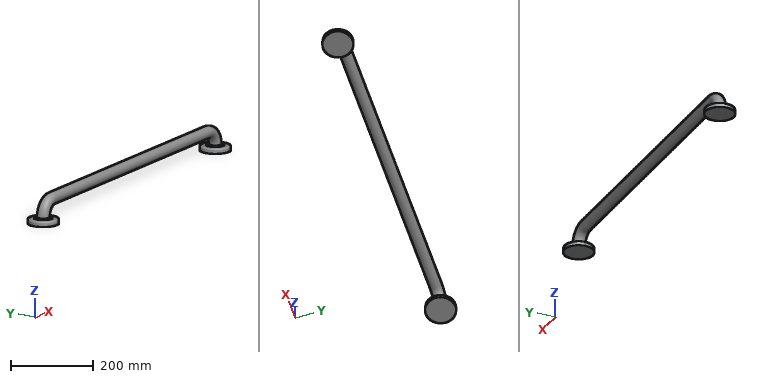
import cadquery as cq

overall_length = 889.0
overall_height = 69.85
flange_diameter = 76.2

tube_diameter = 31.75
bend_radius = 39.7

rim_height = 12.0
shoulder_radius = 3.5
cone_top_height = 13.6

collar_base_diameter = 46.0
collar_top_diameter = 43.5
collar_top_height = 15.875

post_x = (overall_length - flange_diameter) / 2
tube_axis_z = overall_height - tube_diameter / 2
straight_end_x = post_x - bend_radius
bend_start_z = tube_axis_z - bend_radius


def make_tube():
    """Round bar: upright, quarter bend, long straight run, quarter bend, upright."""
    path = (
        cq.Workplane("XZ")
        .moveTo(-post_x, 0)
        .lineTo(-post_x, bend_start_z)
        .tangentArcPoint((-straight_end_x, tube_axis_z), relative=False)
        .lineTo(straight_end_x, tube_axis_z)
        .tangentArcPoint((post_x, bend_start_z), relative=False)
        .lineTo(post_x, 0)
    )
    return cq.Workplane("XY", origin=(-post_x, 0, 0)).circle(tube_diameter / 2).sweep(path)


def make_flange():
    """Round flange with its collar, centred on the Z axis, foot at Z = 0."""
    profile = (
        cq.Workplane("XZ")
        .lineTo(-flange_diameter / 2, 0)
        .lineTo(-flange_diameter / 2, rim_height)
        .lineTo(-collar_base_diameter / 2, cone_top_height)
        .lineTo(-collar_top_diameter / 2, collar_top_height)
        .lineTo(0, collar_top_height)
        .close()
    )
    flange = profile.revolve(360, (0, 0, 0), (0, 1, 0))
    largest_circles = cq.selectors.RadiusNthSelector(-1)
    rim_top_edge = flange.edges("%CIRCLE").edges(largest_circles).edges(">Z")
    return rim_top_edge.fillet(shoulder_radius)


left_flange = make_flange().translate((-post_x, 0, 0))
right_flange = left_flange.mirror("YZ")
result = make_tube().union(left_flange).union(right_flange)